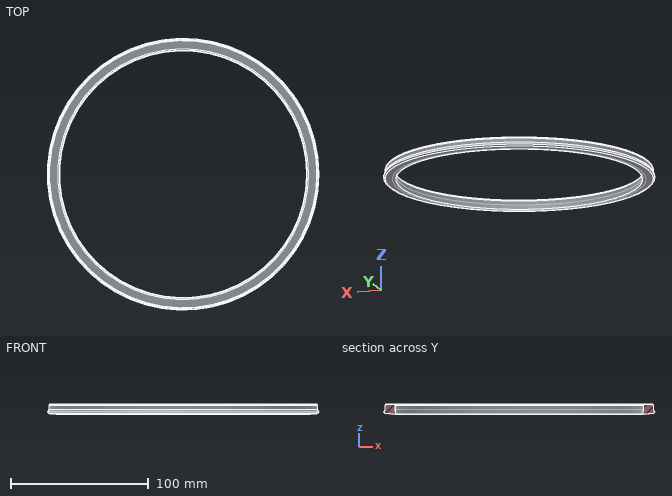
import cadquery as cq

height = 7.3
outer_radius = 98.6
outer_body_radius = 97.6
inner_body_radius = 90.03
chamfer_height = 1.0
outer_chamfer_width = 0.5
inner_chamfer_width = 1.0

lip_start_height = 3.4
lip_crest_height = 1.5
lip_base_height = 0.4

lip_undercut = 1.2
base_taper_width = 5.3
inner_taper = 0.4

shoulder_height = height - chamfer_height
outer_base_radius = outer_radius - lip_undercut
inner_base_radius = inner_body_radius - inner_taper
flat_base_radius = outer_base_radius - base_taper_width

section = [
    (inner_base_radius, 0),
    (flat_base_radius, 0),
    (outer_base_radius, lip_base_height),
    (outer_radius, lip_crest_height),
    (outer_body_radius, lip_start_height),
    (outer_body_radius, shoulder_height),
    (outer_body_radius - outer_chamfer_width, height),
    (inner_body_radius + inner_chamfer_width, height),
    (inner_body_radius, shoulder_height),
    (inner_body_radius, lip_start_height),
]

result = cq.Workplane("XZ").polyline(section).close().revolve(360, (0, 0), (0, 1))